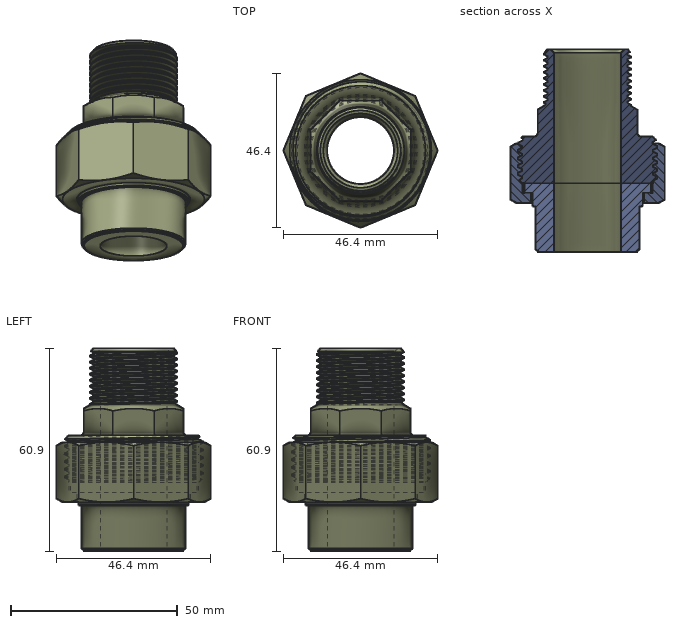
import cadquery as cq
import math

TOTAL_HEIGHT = 60.91
BORE_DIAMETER = 20.0
MOUTH_DIAMETER = 22.3

SLEEVE_DIAMETER = 31.3
SLEEVE_END_CHAMFER = 0.4
END_LAND_DIAMETER = 29.8
END_LAND_HEIGHT = 0.4
COLLAR_DIAMETER = 33.2
COLLAR_BOTTOM = 13.6
COLLAR_CHAMFER = 0.35
SLEEVE_FLANGE_DIAMETER = 38.0
SLEEVE_FLANGE_HEIGHT = 3.0

NUT_ACROSS_CORNERS = 46.37
NUT_BOTTOM = 14.65
NUT_HEIGHT = 18.05
NUT_FACE_DIAMETER = 42.6
NUT_LIP_DIAMETER = 33.96
NUT_LIP_HEIGHT = 3.0
NUT_TOP = NUT_BOTTOM + NUT_HEIGHT

FLANGE_BOTTOM = NUT_BOTTOM + NUT_LIP_HEIGHT + SLEEVE_FLANGE_HEIGHT
FLANGE_TOP = 34.73
OCTAGON_ACROSS_FLATS = 30.0
OCTAGON_FILLET = 0.95
SHOULDER_DIAMETER = 26.1
SHOULDER_HEIGHT = 43.9

PIPE_PITCH = 1.814
PIPE_MAJOR_DIAMETER = 26.26
PIPE_MINOR_DIAMETER = 24.12
PIPE_CREST_DEPTH = 1.04
PIPE_LEAD_SLOPE = math.tan(math.radians(40))
PIPE_LEAD_RISE = 0.8
PIPE_LEAD_UNDERCUT = 0.3
UNION_PITCH = 2.309
UNION_MAJOR_DIAMETER = 41.73
UNION_MINOR_DIAMETER = 38.95
UNION_CREST_DEPTH = 1.45
THREAD_HALF_ANGLE = 27.5
CREST_WIDTH_RATIO = 0.16
RIDGE_ROOT_OVERLAP = 0.2
CREST_CLEARANCE = 0.3

OCTAGON_SIDES = 8

CORNER_CONE_SLOPE = math.tan(math.radians(30))


def revolve_profile(points):
    """Solid of revolution about Z from (radius, height) points."""
    return cq.Workplane("XZ").polyline(points).close().revolve(360, (0, 0, 0), (0, 1, 0))


def cylinder(diameter, bottom, top):
    return cq.Workplane("XY").workplane(offset=bottom).circle(diameter / 2).extrude(top - bottom)


def octagon_prism(across_corners, bottom, top, turn):
    """Eight-sided prism with its first corner turned from +X by the given angle."""
    outline = cq.Workplane("XY").workplane(offset=bottom).polygon(OCTAGON_SIDES, across_corners)
    prism = outline.extrude(top - bottom)
    return prism.rotate((0, 0, 0), (0, 0, 1), turn)


def thread_ridge(pitch, major, minor, crest_height, bottom, top):
    """Right-hand helical ridge covering bottom to top, with a crest on +X at crest_height."""
    turns_below = math.ceil((crest_height - bottom) / pitch) + 1
    turns_above = math.ceil((top - crest_height) / pitch) + 1
    start = crest_height - turns_below * pitch
    length = (turns_below + turns_above) * pitch

    flank_slope = math.tan(math.radians(THREAD_HALF_ANGLE))
    root_radius = minor / 2 - RIDGE_ROOT_OVERLAP
    half_crest = CREST_WIDTH_RATIO * pitch / 2
    half_root = half_crest + (major / 2 - root_radius) * flank_slope
    corners = [
        (root_radius, -half_root),
        (major / 2, -half_crest),
        (major / 2, half_crest),
        (root_radius, half_root),
    ]
    edges = []
    for radius, offset in corners:
        helix = cq.Wire.makeHelix(pitch, length, radius).translate(cq.Vector(0, 0, start + offset))
        edges.append(helix.Edges()[0])
    faces = [cq.Face.makeRuledSurface(edges[i - 1], edges[i]) for i in range(len(edges))]
    for height in (start, start + length):
        points = [cq.Vector(radius, 0, height + offset) for radius, offset in corners]
        faces.append(cq.Face.makeFromWires(cq.Wire.makePolygon(points, close=True)))
    return cq.Workplane(cq.Solid.makeSolid(cq.Shell.makeShell(faces)))


def make_sleeve():
    """Plain tube with a raised land on its end, a collar in the nut and a flange held by the nut lip."""
    bore = BORE_DIAMETER / 2
    land = END_LAND_DIAMETER / 2
    outer = SLEEVE_DIAMETER / 2
    collar = COLLAR_DIAMETER / 2
    flange = SLEEVE_FLANGE_DIAMETER / 2
    flange_bottom = NUT_BOTTOM + NUT_LIP_HEIGHT
    return revolve_profile([
        (bore, 0),
        (land, 0),
        (land, END_LAND_HEIGHT),
        (outer - SLEEVE_END_CHAMFER, END_LAND_HEIGHT),
        (outer, END_LAND_HEIGHT + SLEEVE_END_CHAMFER),
        (outer, COLLAR_BOTTOM),
        (collar - COLLAR_CHAMFER, COLLAR_BOTTOM),
        (collar, COLLAR_BOTTOM + COLLAR_CHAMFER),
        (collar, flange_bottom),
        (flange, flange_bottom),
        (flange, FLANGE_BOTTOM),
        (bore, FLANGE_BOTTOM),
    ])


def make_pipe_thread():
    """Tapered shoulder and threaded spigot above the octagon, with a plain coned lead at the top."""
    minor = PIPE_MINOR_DIAMETER / 2
    shoulder = SHOULDER_DIAMETER / 2
    lead = minor + PIPE_LEAD_RISE
    lead_bottom = TOTAL_HEIGHT - PIPE_LEAD_RISE / PIPE_LEAD_SLOPE
    core = revolve_profile([
        (0, SHOULDER_HEIGHT),
        (shoulder, SHOULDER_HEIGHT),
        (minor, SHOULDER_HEIGHT + shoulder - minor),
        (minor, lead_bottom - PIPE_LEAD_UNDERCUT),
        (lead, lead_bottom),
        (minor, TOTAL_HEIGHT),
        (0, TOTAL_HEIGHT),
    ])
    ridge_end = minor + PIPE_LEAD_RISE / 2
    beyond_crest = PIPE_MAJOR_DIAMETER / 2 + CREST_CLEARANCE
    envelope = revolve_profile([
        (0, SHOULDER_HEIGHT),
        (beyond_crest, SHOULDER_HEIGHT),
        (beyond_crest, lead_bottom - (beyond_crest - lead)),
        (ridge_end, lead_bottom + lead - ridge_end),
        (0, lead_bottom + lead - ridge_end),
    ])
    ridge = thread_ridge(PIPE_PITCH, PIPE_MAJOR_DIAMETER, PIPE_MINOR_DIAMETER,
                         TOTAL_HEIGHT - PIPE_CREST_DEPTH, SHOULDER_HEIGHT, TOTAL_HEIGHT)
    return core.union(ridge.intersect(envelope))


def make_union_thread():
    """Threaded flange that the nut screws onto, with both ends chamfered to the thread root."""
    minor = UNION_MINOR_DIAMETER / 2
    beyond_crest = UNION_MAJOR_DIAMETER / 2 + CREST_CLEARANCE
    end_chamfer = beyond_crest - minor
    core = cylinder(UNION_MINOR_DIAMETER, FLANGE_BOTTOM, FLANGE_TOP)
    envelope = revolve_profile([
        (0, FLANGE_BOTTOM),
        (minor, FLANGE_BOTTOM),
        (beyond_crest, FLANGE_BOTTOM + end_chamfer),
        (beyond_crest, FLANGE_TOP - end_chamfer),
        (minor, FLANGE_TOP),
        (0, FLANGE_TOP),
    ])
    ridge = thread_ridge(UNION_PITCH, UNION_MAJOR_DIAMETER, UNION_MINOR_DIAMETER,
                         FLANGE_TOP - UNION_CREST_DEPTH, FLANGE_BOTTOM, FLANGE_TOP)
    return core.union(ridge.intersect(envelope))


def make_octagon():
    """Wrench octagon with flats on X and Y, a coned top and a filleted foot."""
    corner = OCTAGON_ACROSS_FLATS / math.cos(math.pi / OCTAGON_SIDES) / 2
    shoulder = SHOULDER_DIAMETER / 2
    prism = octagon_prism(2 * corner, FLANGE_TOP, SHOULDER_HEIGHT, 180 / OCTAGON_SIDES)
    cone = revolve_profile([
        (0, FLANGE_TOP),
        (corner, FLANGE_TOP),
        (corner, SHOULDER_HEIGHT - (corner - shoulder) * CORNER_CONE_SLOPE),
        (shoulder, SHOULDER_HEIGHT),
        (0, SHOULDER_HEIGHT),
    ])
    foot = cylinder(UNION_MINOR_DIAMETER, FLANGE_BOTTOM, FLANGE_TOP)
    joined = foot.union(prism.intersect(cone))
    flange_face = joined.faces("|Z").faces(">Z[1]")
    return flange_face.edges("%LINE").fillet(OCTAGON_FILLET)


def make_threaded_end():
    """Union flange, octagon and pipe spigot joined, with the bore opening into a coned mouth."""
    mouth_depth = (MOUTH_DIAMETER - BORE_DIAMETER) / 2
    bore = revolve_profile([
        (0, FLANGE_BOTTOM),
        (BORE_DIAMETER / 2, FLANGE_BOTTOM),
        (BORE_DIAMETER / 2, TOTAL_HEIGHT - mouth_depth),
        (MOUTH_DIAMETER / 2, TOTAL_HEIGHT),
        (0, TOTAL_HEIGHT),
    ])
    return make_octagon().union(make_union_thread()).union(make_pipe_thread()).cut(bore)


def make_nut(mating_thread):
    """Octagonal nut with corners on X and Y, coned ends, an inner lip and a matching thread."""
    corner = NUT_ACROSS_CORNERS / 2
    face = NUT_FACE_DIAMETER / 2
    cone_height = (corner - face) * CORNER_CONE_SLOPE
    prism = octagon_prism(NUT_ACROSS_CORNERS, NUT_BOTTOM, NUT_TOP, 0)
    envelope = revolve_profile([
        (0, NUT_BOTTOM),
        (face, NUT_BOTTOM),
        (corner, NUT_BOTTOM + cone_height),
        (corner, NUT_TOP - cone_height),
        (face, NUT_TOP),
        (0, NUT_TOP),
    ])
    lip_top = NUT_BOTTOM + NUT_LIP_HEIGHT
    lip_hole = cylinder(NUT_LIP_DIAMETER, NUT_BOTTOM, lip_top)
    chamber = cylinder(UNION_MINOR_DIAMETER, lip_top, NUT_TOP)
    return prism.intersect(envelope).cut(lip_hole).cut(chamber).cut(mating_thread)


sleeve = make_sleeve()
threaded_end = make_threaded_end()
nut = make_nut(make_union_thread())

result = cq.Compound.makeCompound([sleeve.val(), nut.solids().val(), threaded_end.solids().val()])